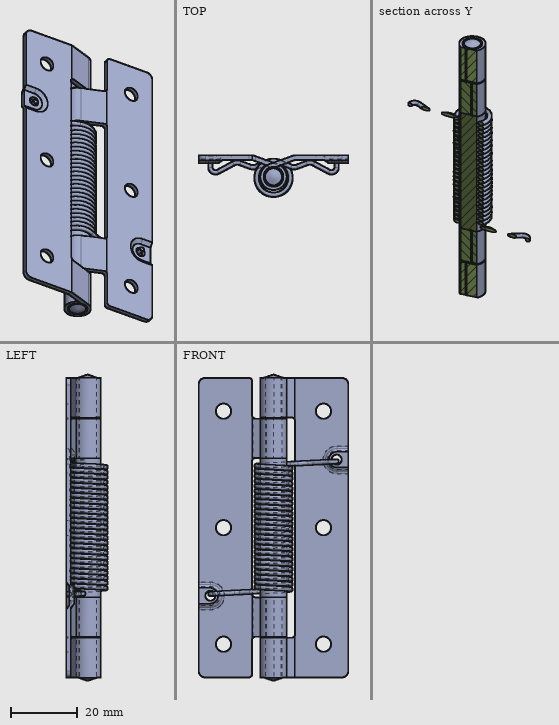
import cadquery as cq
import math


total_height = 92.0
total_width = 45.0
total_depth = 12.6
leaf_height = 90.0
leaf_depth = 10.5
sheet = 1.5
knuckle_diameter = 8.0
knuckle_radius = knuckle_diameter / 2

tolerance = 0.01

back_y = leaf_depth - knuckle_radius
front_y = back_y - sheet
edge_x = total_width / 2
outer_corner_radius = 2.0
inner_corner_radius = 1.0
hole_diameter = 4.5
hole_x = 15.0
hole_spacing = 35.0

bore_radius = knuckle_radius - sheet
bend_back_x = 6.2
seam_gap = 0.1
end_knuckle_length = 12.0
knuckle_gap = 0.3
end_knuckle_z = leaf_height / 2 - end_knuckle_length
inner_knuckle_top = end_knuckle_z - knuckle_gap
inner_knuckle_bottom = 20.9

anchor_x = 18.95
anchor_z = 20.4
anchor_rise = 1.0
anchor_base_radius = 3.7
anchor_top_width = 4.7
anchor_run = anchor_base_radius - anchor_top_width / 2
anchor_fillet = 1.0
anchor_hole_diameter = 2.9

head_diameter = 6.0
head_radius = head_diameter / 2

wire_diameter = 1.4
coil_outer_radius = 5.8
coil_radius = coil_outer_radius - wire_diameter / 2
coil_center_y = back_y - total_depth + coil_outer_radius
coil_height = 38.0
full_turns = 25
wave_valley = (6.2, 2.7)
wave_crest = (11.0, 4.5)
hook_corner_y = 0.3
wave_bend_radius = 2.5
hook_bend_radius = 1.6
hook_end_recess = 0.2
hook_end_y = back_y - hook_end_recess

bend_distance = math.hypot(bend_back_x, back_y)
strip_angle = math.atan2(back_y, bend_back_x) - math.asin(knuckle_radius / bend_distance)
bend_front_x = bend_back_x + sheet * math.tan(strip_angle / 2)


def along_strip_normal(distance):
    """Point at a distance from the pin axis, square to the bent strip."""
    return (-distance * math.sin(strip_angle), distance * math.cos(strip_angle))


def prism(outline):
    """Full leaf height prism of a closed XY outline."""
    return (cq.Workplane("XY", origin=(0, 0, -leaf_height / 2))
            .polyline(outline).close().extrude(leaf_height))


def knuckle_roll():
    """Rolled eye, open by a thin seam where the sheet end meets the strip."""
    roll = (cq.Workplane("XY", origin=(0, 0, -leaf_height / 2))
            .circle(knuckle_radius).circle(bore_radius).extrude(leaf_height))
    seam = (cq.Workplane("XY", origin=(0, 0, -leaf_height / 2))
            .center(*along_strip_normal(bore_radius))
            .transformed(rotate=(0, 0, math.degrees(strip_angle)))
            .rect(2 * knuckle_radius, 2 * seam_gap).extrude(leaf_height))
    right_half = cq.Workplane("XY").box(knuckle_radius, 2 * knuckle_radius, leaf_height,
                                        centered=(False, True, True))
    return roll.cut(seam.intersect(right_half))


def leaf_blank():
    """Plate, bent strip and roll over the full leaf height."""
    plate_and_strip = prism([
        (edge_x, back_y),
        (bend_back_x, back_y),
        along_strip_normal(knuckle_radius),
        along_strip_normal(bore_radius),
        (bend_front_x, front_y),
        (edge_x, front_y),
    ])
    blank = knuckle_roll().union(plate_and_strip)
    return blank.edges("|Y and >X").fillet(outer_corner_radius)


def window(z_low, z_high):
    """Cutter that clears strip and roll between two heights, with rounded corners."""
    width = bend_front_x + 2 * knuckle_radius
    depth = 4 * back_y
    return (cq.Workplane("XY")
            .box(width, depth, z_high - z_low, centered=(False, True, False))
            .edges("|Y and >X").fillet(inner_corner_radius)
            .translate((bend_front_x - width, 0, z_low)))


def anchor_form(base_y, radius_offset):
    """Tapered U-shaped form that rises toward -Y and runs out past the plate edge."""
    base_radius = anchor_base_radius + radius_offset
    length = 4 * anchor_base_radius
    taper = math.degrees(math.atan2(anchor_run, anchor_rise))
    form = (cq.Workplane("XZ", origin=(anchor_x + length / 2, base_y, anchor_z))
            .slot2D(length + 2 * base_radius, 2 * base_radius)
            .extrude(anchor_rise, taper=taper))
    plate_side = cq.Workplane("XY").box(2 * edge_x, 4 * back_y, leaf_height)
    return form.intersect(plate_side)


def add_anchor(leaf):
    """Emboss the plate toward -Y and pierce the hook hole."""
    half_slope = math.atan2(anchor_rise, anchor_run) / 2
    recess_offset = sheet * math.tan(half_slope)
    reach = anchor_base_radius + anchor_fillet
    rim = cq.selectors.BoxSelector(
        (anchor_x - reach, front_y - tolerance, anchor_z - reach),
        (edge_x - tolerance, front_y + tolerance, anchor_z + reach))
    leaf = leaf.union(anchor_form(front_y, 0))
    leaf = leaf.edges(rim).fillet(anchor_fillet)
    leaf = leaf.cut(anchor_form(back_y, recess_offset))
    hook_hole = (cq.Workplane("XZ", origin=(anchor_x, 0, anchor_z))
                 .circle(anchor_hole_diameter / 2).extrude(2 * back_y, both=True))
    return leaf.cut(hook_hole)


def add_screw_holes(leaf):
    """Three screw holes in a vertical row."""
    holes = (cq.Workplane("XZ")
             .pushPoints([(hole_x, row * hole_spacing) for row in (-1, 0, 1)])
             .circle(hole_diameter / 2).extrude(2 * back_y, both=True))
    return leaf.cut(holes)


def make_outer_leaf():
    """Leaf on the +X side, with the two end knuckles."""
    leaf = leaf_blank().cut(window(-end_knuckle_z, end_knuckle_z))
    return add_screw_holes(add_anchor(leaf))


def make_inner_leaf():
    """Leaf on the -X side, with the two knuckles that sit between the end knuckles."""
    past_end = leaf_height
    leaf = leaf_blank().cut(window(-inner_knuckle_bottom, inner_knuckle_bottom))
    leaf = leaf.cut(window(inner_knuckle_top, past_end))
    leaf = leaf.cut(window(-past_end, -inner_knuckle_top))
    end_corners = cq.selectors.BoxSelector(
        (bend_front_x - tolerance, 0, -leaf_height),
        (bend_front_x + tolerance, 2 * back_y, leaf_height))
    leaf = leaf.edges("|Y").edges("<Z or >Z").edges(end_corners).fillet(inner_corner_radius)
    return add_screw_holes(add_anchor(leaf)).rotate((0, 0, 0), (0, 1, 0), 180)


def make_pin():
    """Pin with a thick middle between the inner knuckles and a conical head at each end."""
    return (cq.Workplane("XZ")
            .polyline([
                (0, -total_height / 2),
                (head_radius, -leaf_height / 2),
                (bore_radius, -leaf_height / 2),
                (bore_radius, -inner_knuckle_bottom),
                (knuckle_radius, -inner_knuckle_bottom),
                (knuckle_radius, inner_knuckle_bottom),
                (bore_radius, inner_knuckle_bottom),
                (bore_radius, leaf_height / 2),
                (head_radius, leaf_height / 2),
                (0, total_height / 2),
            ]).close().revolve(360, (0, 0, 0), (0, 1, 0)))


def bent_wire(plane, corners, bend_radii):
    """Open wire through the corners, with every inner corner rounded to its bend radius."""
    path = cq.Workplane(plane).moveTo(*corners[0])
    for before, corner, after, radius in zip(corners, corners[1:], corners[2:], bend_radii):
        corner = cq.Vector(*corner)
        to_before = (cq.Vector(*before) - corner).normalized()
        to_after = (cq.Vector(*after) - corner).normalized()
        half_angle = to_before.getAngle(to_after) / 2
        setback = radius / math.tan(half_angle)
        apex_distance = radius / math.sin(half_angle) - radius
        apex = corner + (to_before + to_after).normalized() * apex_distance
        bend_start = corner + to_before * setback
        bend_end = corner + to_after * setback
        path = path.lineTo(bend_start.x, bend_start.y)
        path = path.threePointArc((apex.x, apex.y), (bend_end.x, bend_end.y))
    return path.lineTo(*corners[-1]).wire().val()


def make_spring():
    """Left-hand torsion spring: a coil and two waved legs, each hooked through an anchor."""
    valley_x, valley_rise = wave_valley[0], wave_valley[1] - coil_center_y
    leave_angle = (math.atan2(valley_rise, valley_x)
                   + math.acos(coil_radius / math.hypot(valley_x, valley_rise)))
    leave_x = coil_radius * math.cos(leave_angle)
    leave_y = coil_center_y + coil_radius * math.sin(leave_angle)

    start_angle = math.degrees(math.pi - leave_angle)
    turns = full_turns + (2 * start_angle - 180) / 360
    pitch = coil_height / turns
    coil = cq.Wire.makeHelix(pitch, coil_height, coil_radius, lefthand=True)
    coil = coil.rotate(cq.Vector(), cq.Vector(0, 0, 1), start_angle)
    coil = coil.translate(cq.Vector(0, coil_center_y, -coil_height / 2))

    coil_slope = pitch / (2 * math.pi * coil_radius)
    tilt = math.atan(coil_slope / math.sin(leave_angle))
    leg_plane = cq.Plane(origin=(leave_x, leave_y, coil_height / 2),
                         xDir=(math.cos(tilt), 0, math.sin(tilt)),
                         normal=(-math.sin(tilt), 0, math.cos(tilt)))
    corners = [
        (leave_x, leave_y),
        wave_valley,
        wave_crest,
        (anchor_x, hook_corner_y),
        (anchor_x, hook_end_y),
    ]
    local_corners = [((x - leave_x) / math.cos(tilt), y - leave_y) for x, y in corners]
    bend_radii = [wave_bend_radius, wave_bend_radius, hook_bend_radius]
    leg = bent_wire(leg_plane, local_corners, bend_radii)
    opposite_leg = leg.rotate(cq.Vector(), cq.Vector(0, 1, 0), 180)

    path = cq.Wire.assembleEdges(opposite_leg.Edges()[::-1] + coil.Edges() + leg.Edges())
    section_plane = cq.Plane(origin=path.startPoint().toTuple(), normal=(0, -1, 0))
    return cq.Workplane(section_plane).circle(wire_diameter / 2).sweep(cq.Workplane(path))


outer_leaf = make_outer_leaf()
inner_leaf = make_inner_leaf()
pin = make_pin()
spring = make_spring()

result = cq.Compound.makeCompound([
    outer_leaf.solids().val(),
    inner_leaf.solids().val(),
    pin.val(),
    spring.val(),
])